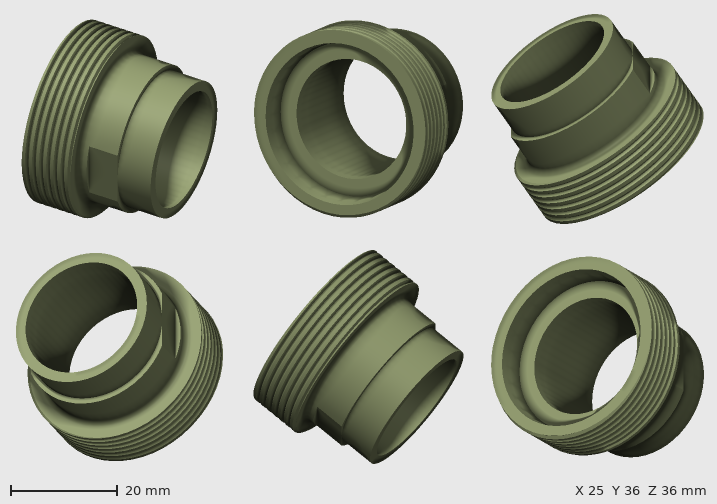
import cadquery as cq
import math

total_length = 25.0
thread_length = 10.08
flat_start = 12.0
collar_end = 18.0
counterbore_depth = 5.0

thread_diameter = 36.0
collar_diameter = 29.15
spigot_diameter = 27.0
bore_diameter = 23.0
counterbore_mouth_diameter = 31.0
counterbore_floor_diameter = 29.63

across_flats = 27.0
flat_clearance = 0.35
fillet_radius = 1.0

six_turn_advance = 9.0
pitch = six_turn_advance / 6
groove_depth = 0.58
groove_top_width = 0.83
groove_root_width = 0.15
groove_phase = 0.35
groove_overrun = 0.18
groove_turns = math.ceil(thread_length / pitch) + 2


def cylinder(diameter, start, end):
    """Cylinder around the X axis between two X positions."""
    return cq.Workplane("YZ", origin=(start, 0, 0)).circle(diameter / 2).extrude(end - start)


def body():
    """Threaded blank, collar and spigot, with a fillet where the collar meets the blank."""
    blank = cylinder(thread_diameter, 0, thread_length)
    collar = cylinder(collar_diameter, thread_length, collar_end)
    spigot = cylinder(spigot_diameter, collar_end, total_length)
    neck = blank.union(collar)
    neck_edge = cq.selectors.RadiusNthSelector(0)
    filleted = neck.faces(">X[-2]").edges(neck_edge).fillet(fillet_radius)
    return filleted.union(spigot)


def wrench_flats():
    """Two blocks that trim the collar on its -Y and +Y sides."""
    flat_length = collar_end - flat_start
    block_depth = (collar_diameter - across_flats) / 2 + flat_clearance
    blocks = cq.Workplane()
    for side in (-1, 1):
        centre_y = side * (across_flats + block_depth) / 2
        block = cq.Workplane().box(flat_length, block_depth, collar_diameter)
        blocks = blocks.add(block.translate((flat_start + flat_length / 2, centre_y, 0)))
    return blocks.combine()


def groove_turn():
    """One turn of the trapezoidal groove, starting one pitch ahead of the groove position on +Y."""
    crest_radius = thread_diameter / 2
    root_radius = crest_radius - groove_depth
    outer_radius = crest_radius + groove_overrun
    flank_slope = (groove_top_width - groove_root_width) / 2 / groove_depth
    half_root = groove_root_width / 2
    half_outer = groove_top_width / 2 + flank_slope * groove_overrun
    helix = cq.Wire.makeHelix(pitch, pitch, crest_radius)
    groove = (
        cq.Workplane("XZ")
        .polyline([
            (root_radius, -half_root),
            (outer_radius, -half_outer),
            (outer_radius, half_outer),
            (root_radius, half_root),
        ])
        .close()
        .sweep(cq.Workplane(helix), isFrenet=True)
    )
    groove = groove.rotate((0, 0, 0), (1, 1, 1), 120)
    return groove.translate((groove_phase - pitch, 0, 0))


def cut_thread(solid):
    """Cut the groove turn by turn; the first and last turns run out past the thread ends."""
    turn = groove_turn()
    for index in range(groove_turns):
        solid = solid.cut(turn.translate((index * pitch, 0, 0)))
    return solid


def counterbore():
    """Tapered recess, widest at the threaded face."""
    return (
        cq.Workplane("YZ")
        .circle(counterbore_mouth_diameter / 2)
        .workplane(offset=counterbore_depth)
        .circle(counterbore_floor_diameter / 2)
        .loft()
    )


result = (
    cut_thread(body())
    .cut(wrench_flats())
    .cut(cylinder(bore_diameter, 0, total_length))
    .cut(counterbore())
)